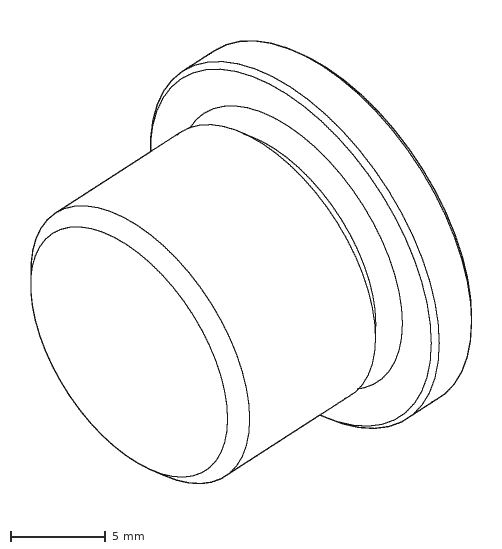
import cadquery as cq

total_length = 15.0
head_diameter = 22.0
head_thickness = 3.0
head_chamfer = 0.3
shank_diameter = 16.66
shank_end_diameter = 15.0
shank_chamfer = (shank_diameter - shank_end_diameter) / 2
relief_length = 1.0
relief_head_diameter = 17.0
relief_root_diameter = shank_end_diameter

shoulder_y = 0.0
head_face_y = shoulder_y + head_thickness
relief_root_y = shoulder_y - relief_length
shank_end_y = head_face_y - total_length

head_radius = head_diameter / 2
shank_radius = shank_diameter / 2


def make_plug():
    """Revolve the half profile (radius along X) about the Y axis."""
    profile = (
        cq.Workplane("XY")
        .moveTo(0, head_face_y)
        .lineTo(head_radius - head_chamfer, head_face_y)
        .lineTo(head_radius, head_face_y - head_chamfer)
        .lineTo(head_radius, shoulder_y + head_chamfer)
        .lineTo(head_radius - head_chamfer, shoulder_y)
        .lineTo(relief_head_diameter / 2, shoulder_y)
        .lineTo(relief_root_diameter / 2, relief_root_y)
        .lineTo(shank_radius, relief_root_y - shank_chamfer)
        .lineTo(shank_radius, shank_end_y + shank_chamfer)
        .lineTo(shank_end_diameter / 2, shank_end_y)
        .lineTo(0, shank_end_y)
        .close()
    )
    return profile.revolve(360, (0, 0, 0), (0, 1, 0))


result = make_plug()